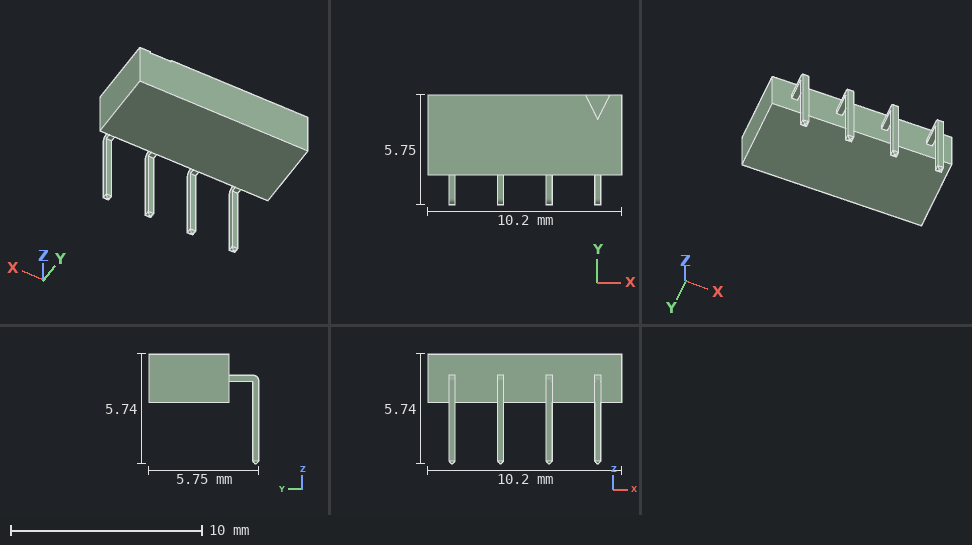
import cadquery as cq

pin_count = 4
pitch = 2.54
housing_length = pin_count * pitch
housing_depth = 4.19
housing_height = pitch

marker_side = pitch / 2
marker_depth = 0.08

pin_size = 0.33
bend_radius = 0.3
pin_reach = 1.56
pin_drop = 3.2
tip_height = 0.135
tip_flat = 0.06
pin_axis_height = housing_height / 2

first_pin_x = -(pin_count - 1) * pitch / 2
last_pin_x = -first_pin_x


def make_housing():
    block = cq.Workplane("XY").box(
        housing_length, housing_depth, housing_height, centered=(True, False, False)
    )
    marker = (
        cq.Workplane("XY", origin=(last_pin_x, housing_depth, housing_height))
        .moveTo(-marker_side / 2, 0)
        .lineTo(0, -marker_side)
        .lineTo(marker_side / 2, 0)
        .close()
        .extrude(-marker_depth)
    )
    return block.cut(marker)


def make_pin(pin_x):
    """One bent pin: the outside of the bend is round, the inside is a sharp corner."""
    top = pin_axis_height + pin_size / 2
    underside = top - pin_size
    leg_back = pin_size - pin_reach
    leg_end = tip_height - pin_drop

    bent_wire = (
        cq.Workplane("YZ", origin=(pin_x, 0, 0))
        .moveTo(0, underside)
        .lineTo(0, top)
        .lineTo(bend_radius - pin_reach, top)
        .radiusArc((-pin_reach, top - bend_radius), -bend_radius)
        .lineTo(-pin_reach, leg_end)
        .lineTo(leg_back, leg_end)
        .lineTo(leg_back, underside)
        .close()
        .extrude(pin_size / 2, both=True)
    )
    tip = (
        cq.Workplane("XY", origin=(pin_x, pin_size / 2 - pin_reach, leg_end))
        .rect(pin_size, pin_size)
        .workplane(offset=-tip_height)
        .rect(tip_flat, tip_flat)
        .loft(combine=True)
    )
    return bent_wire.union(tip)


housing = make_housing()
pins = [make_pin(first_pin_x + i * pitch) for i in range(pin_count)]

result = cq.Compound.makeCompound([housing.val(), *[pin.val() for pin in pins]])